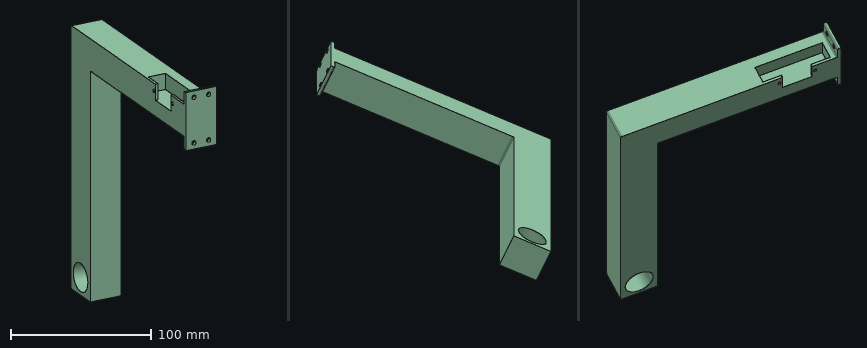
import cadquery as cq

length = 172.4
depth = 25.0
height = 212.8

leg_width = 29.2
arm_height = 25.0
flange_thickness = 3.0
flange_overhang = 10.0
corner_radius = 1.0

bore_diameter = 21.7
bore_height = 13.8

screw_diameter = 3.2
screw_spacing = 12.0
screw_edge_distance = 5.0

pocket_start = 112.1
pocket_length = 52.5
pocket_width = 13.8
pocket_depth = 12.3
front_wall = 2.1
window_width = 23.0
window_center = 138.1

pilot_diameter = 2.3
pilot_spacing = 27.7
pilot_drop = 6.0

arm_top = height - flange_overhang
arm_bottom = arm_top - arm_height
flange_bottom = arm_bottom - flange_overhang
flange_face = length - flange_thickness


def make_body():
    """Extrude the L profile with its flange and round its corners."""
    outline = [
        (0, 0),
        (leg_width, 0),
        (leg_width, arm_bottom),
        (flange_face, arm_bottom),
        (flange_face, flange_bottom),
        (length, flange_bottom),
        (length, height),
        (flange_face, height),
        (flange_face, arm_top),
        (0, arm_top),
    ]
    body = cq.Workplane("XZ").polyline(outline).close().extrude(-depth)
    rounded_corners = [
        (leg_width, arm_bottom),
        (flange_face, arm_bottom),
        (flange_face, arm_top),
        (0, arm_top),
        (flange_face, height),
        (flange_face, flange_bottom),
    ]
    for x, z in rounded_corners:
        edge = cq.selectors.NearestToPointSelector((x, depth / 2, z))
        body = body.edges(edge).fillet(corner_radius)
    return body


def front_hole(x, z, diameter, hole_depth):
    """Cylinder running back from the front face."""
    return cq.Workplane("XZ").center(x, z).circle(diameter / 2).extrude(-hole_depth)


def box_cut(x, y, size_x, size_y):
    """Recess of pocket depth, open at the top of the arm."""
    corner = (x, y, arm_top - pocket_depth)
    return cq.Workplane().box(size_x, size_y, pocket_depth, centered=False).translate(corner)


def screw_holes():
    """Pair of holes through each flange overhang."""
    plane = cq.Workplane("YZ", origin=(flange_face, depth / 2, 0))
    rows = (flange_bottom + screw_edge_distance, height - screw_edge_distance)
    points = [(side * screw_spacing / 2, z) for side in (-1, 1) for z in rows]
    return plane.pushPoints(points).circle(screw_diameter / 2).extrude(flange_thickness)


result = make_body()
result = result.cut(front_hole(leg_width / 2, bore_height, bore_diameter, depth))
result = result.cut(screw_holes())
result = result.cut(box_cut(pocket_start, front_wall, pocket_length, pocket_width))
result = result.cut(box_cut(window_center - window_width / 2, 0, window_width, front_wall))
for side in (-1, 1):
    pilot_x = window_center + side * pilot_spacing / 2
    result = result.cut(front_hole(pilot_x, arm_top - pilot_drop, pilot_diameter, front_wall))